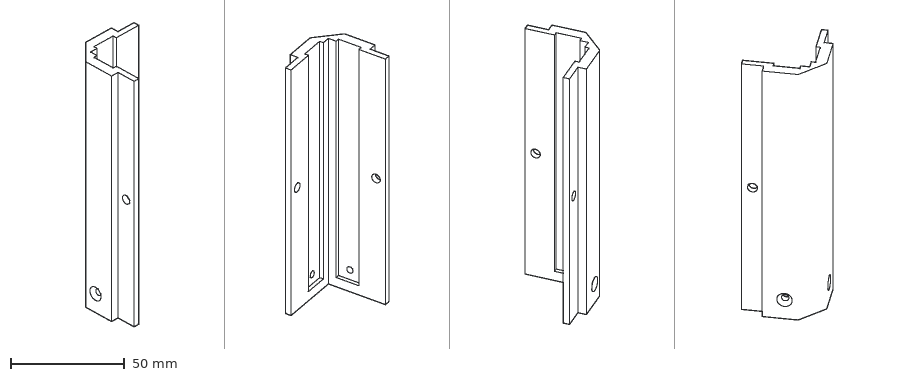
import cadquery as cq
import math

LENGTH = 130.0
LEG = 37.0

THICKNESS = 7.0
FLANGE_THICKNESS = 3.0
THICK_END = 27.0
CORNER_CHAMFER = 10.9
CHAMFER_BLEND_RADIUS = 1.7

RECESS_START = 11.0
RECESS_WIDTH = 12.0
RECESS_DEPTH = 2.0
RECESS_FLOOR = 5.0

SCREW_HEIGHT = 10.0
SCREW_DIAMETER = 3.2
COUNTERSINK_DIAMETER = 6.9
COUNTERSINK_ANGLE = 90
FLANGE_HOLE_DIAMETER = 4.4

screw_offset = RECESS_START + RECESS_WIDTH / 2
flange_hole_offset = (THICK_END + LEG) / 2
flange_face = THICKNESS - FLANGE_THICKNESS


def swap_legs(shape):
    """Mirror a shape from the X leg to the Y leg."""
    return shape.mirror("XZ").rotate((0, 0, 0), (0, 0, 1), 90)


def angle_body():
    """Stepped angle with a blended chamfer along its outer corner."""
    x_leg_points = [
        (CORNER_CHAMFER, 0),
        (THICK_END, 0),
        (THICK_END, flange_face),
        (LEG, flange_face),
        (LEG, THICKNESS),
    ]
    y_leg_points = [(y, x) for x, y in reversed(x_leg_points)]
    outline = x_leg_points + [(THICKNESS, THICKNESS)] + y_leg_points
    body = cq.Workplane("XY").polyline(outline).close().extrude(LENGTH)
    middle = LENGTH / 2
    near_x_leg = cq.selectors.NearestToPointSelector((CORNER_CHAMFER, 0, middle))
    near_y_leg = cq.selectors.NearestToPointSelector((0, CORNER_CHAMFER, middle))
    return body.edges(near_x_leg + near_y_leg).fillet(CHAMFER_BLEND_RADIUS)


def recess():
    """Blind recess in the inner face of the X leg."""
    height = LENGTH - RECESS_FLOOR
    block = cq.Workplane("XY").box(RECESS_WIDTH, RECESS_DEPTH, height, centered=False)
    return block.translate((RECESS_START, THICKNESS - RECESS_DEPTH, RECESS_FLOOR))


def countersunk_hole():
    """Countersunk screw hole entering the outer face of the X leg."""
    shank_radius = SCREW_DIAMETER / 2
    head_radius = COUNTERSINK_DIAMETER / 2
    half_angle = math.radians(COUNTERSINK_ANGLE / 2)
    cone_depth = (head_radius - shank_radius) / math.tan(half_angle)
    half_section = [
        (0, 0),
        (head_radius, 0),
        (shank_radius, cone_depth),
        (shank_radius, THICKNESS),
        (0, THICKNESS),
    ]
    cutter = cq.Workplane("XY").polyline(half_section).close().revolve(360, (0, 0), (0, 1))
    return cutter.translate((screw_offset, 0, SCREW_HEIGHT))


def flange_hole():
    """Plain through hole at mid-length of the X leg's flange."""
    return (
        cq.Workplane("XZ")
        .center(flange_hole_offset, LENGTH / 2)
        .circle(FLANGE_HOLE_DIAMETER / 2)
        .extrude(-THICKNESS)
    )


result = angle_body()
for cutter in (recess(), countersunk_hole(), flange_hole()):
    result = result.cut(cutter).cut(swap_legs(cutter))